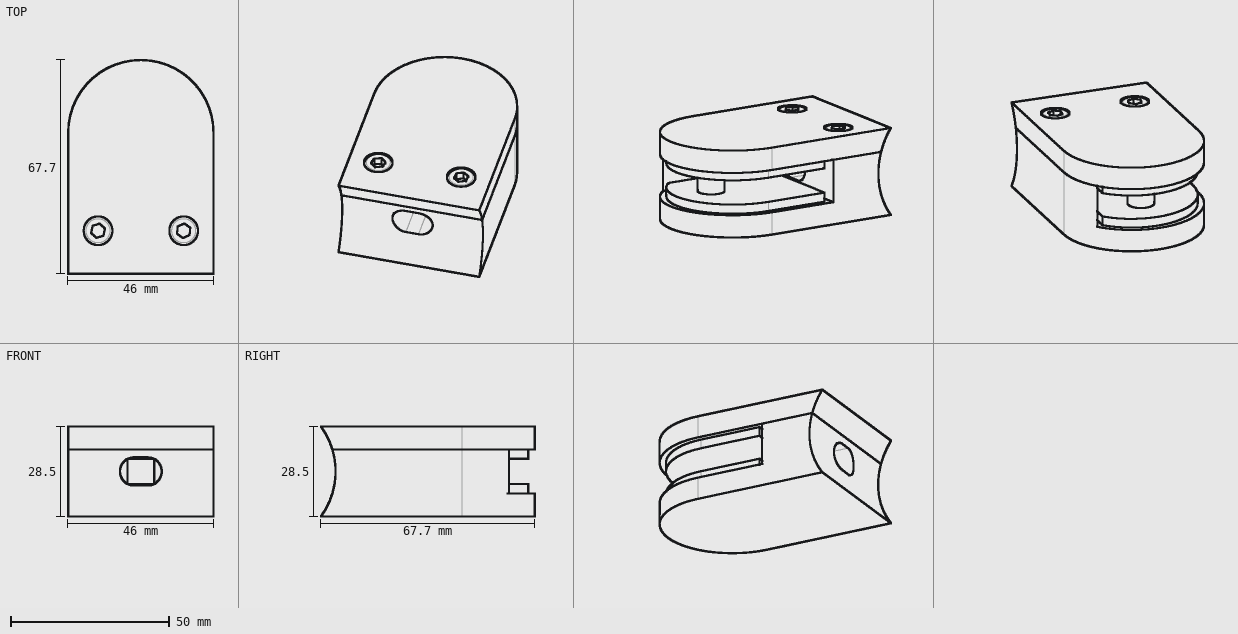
import cadquery as cq
import math


width = 46.0
length = 67.65
height = 28.5
nose_radius = width / 2
nose_center_y = length - nose_radius

plate_thickness = 7.3
slot_height = height - 2 * plate_thickness
slot_start_y = 21.6
wall_thickness = 5.5
saddle_radius = 24.15
saddle_chord_y = math.sqrt(saddle_radius**2 - (height / 2) ** 2)
cover_bottom_z = slot_height / 2

post_hole_width = 13.1
post_hole_height = 9.0

pad_thickness = 3.0
pad_inset = 2.0

pin_diameter = 8.5
pin_y = 52.7
pin_length = slot_height - 2 * pad_thickness

screw_spacing = 27.05
screw_y = 13.65
head_diameter = 9.05
head_height = 5.0
head_edge_radius = 0.75
shank_diameter = 5.0
shank_length = 12.05
socket_flats = 4.0
socket_depth = 2.5
left_socket_angle = 18.0
right_socket_angle = 24.0
screws = [
    (-screw_spacing / 2, left_socket_angle),
    (screw_spacing / 2, right_socket_angle),
]


def d_block(start_y, inset, bottom_z, thickness):
    """Block with a straight end at start_y and a round nose, its sides moved in by inset."""
    half_width = width / 2 - inset
    return (
        cq.Workplane("XY", origin=(0, 0, bottom_z))
        .moveTo(-half_width, start_y)
        .lineTo(half_width, start_y)
        .lineTo(half_width, nose_center_y)
        .threePointArc((0, nose_center_y + half_width), (-half_width, nose_center_y))
        .close()
        .extrude(thickness)
    )


def box_between(min_x, max_x, min_y, max_y, bottom_z, thickness):
    """Box given by its X and Y limits, its bottom and its thickness."""
    return cq.Workplane("XY").box(
        max_x - min_x, max_y - min_y, thickness, centered=False
    ).translate((min_x, min_y, bottom_z))


def make_saddle():
    """Cylinder of the post, lying along X."""
    return (
        cq.Workplane("YZ", origin=(-width / 2, 0, 0))
        .center(-saddle_chord_y, 0)
        .circle(saddle_radius)
        .extrude(width)
    )


def make_screw_blank(x):
    """Screw without its socket; it also forms the hole that the screw fills."""
    head_bottom_z = height / 2 - head_height
    head = (
        cq.Workplane("XY", origin=(x, screw_y, head_bottom_z))
        .circle(head_diameter / 2)
        .extrude(head_height)
    )
    shank = (
        cq.Workplane("XY", origin=(x, screw_y, head_bottom_z - shank_length))
        .circle(shank_diameter / 2)
        .extrude(shank_length)
    )
    return head.union(shank)


def make_housing():
    """Lower plate, slot with one side wall, and saddle end in one piece."""
    housing = d_block(0, 0, -height / 2, height - plate_thickness)
    slot = box_between(
        -width / 2, width / 2 - wall_thickness, slot_start_y, length, -slot_height / 2, slot_height
    )
    post_hole = (
        cq.Workplane("XZ")
        .slot2D(post_hole_width, post_hole_height)
        .extrude(-slot_start_y)
    )
    housing = housing.cut(slot).cut(make_saddle()).cut(post_hole)
    for x, _ in screws:
        housing = housing.cut(make_screw_blank(x))
    return housing


def make_cover():
    """Upper plate with stepped screw holes."""
    cover = d_block(0, 0, cover_bottom_z, plate_thickness).cut(make_saddle())
    for x, _ in screws:
        cover = cover.cut(make_screw_blank(x))
    return cover


def make_pad(bottom_z):
    """Pad that follows the slot outline, set in on every side."""
    pad = d_block(slot_start_y + pad_inset, pad_inset, bottom_z, pad_thickness)
    wall_side = box_between(
        width / 2 - wall_thickness - pad_inset, width / 2, 0, length, bottom_z, pad_thickness
    )
    return pad.cut(wall_side)


def make_pin():
    """Plain pin that spans the gap between the pads."""
    return (
        cq.Workplane("XY", origin=(0, pin_y, -pin_length / 2))
        .circle(pin_diameter / 2)
        .extrude(pin_length)
    )


def make_screw(x, socket_angle):
    """Cap screw, flush with the cover, with a rounded head edge and a hexagon socket."""
    socket = (
        cq.Workplane("XY")
        .polygon(6, socket_flats / math.cos(math.pi / 6))
        .extrude(-socket_depth)
        .rotate((0, 0, 0), (0, 0, 1), socket_angle)
        .translate((x, screw_y, height / 2))
    )
    return make_screw_blank(x).faces(">Z").edges().fillet(head_edge_radius).cut(socket)


housing = make_housing()
cover = make_cover()
pads = [make_pad(bottom_z) for bottom_z in (-slot_height / 2, pin_length / 2)]
pin = make_pin()
cap_screws = [make_screw(x, angle) for x, angle in screws]

result = cq.Compound.makeCompound(
    [
        housing.val(),
        cover.val(),
        *[pad.val() for pad in pads],
        pin.val(),
        *[screw.val() for screw in cap_screws],
    ]
)